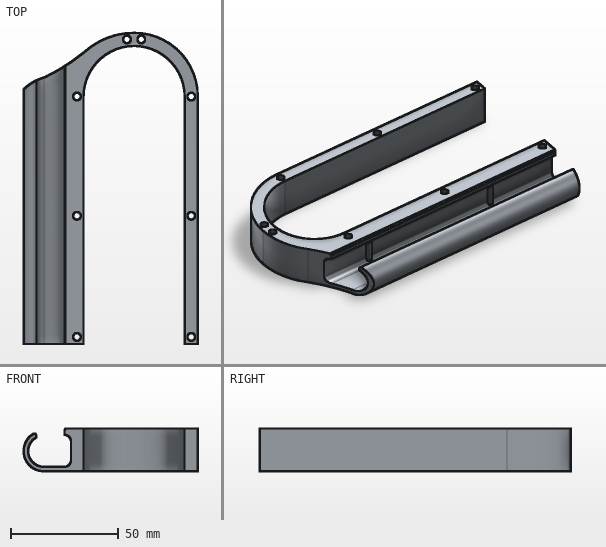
import cadquery as cq
import math

height = 20.0
length = 145.4
width = 81.4

bend_outer_radius = 29.8
bend_inner_radius = 23.5
front_y = bend_outer_radius - length
left_x = bend_outer_radius - width

shoulder_radius = 34.5
shoulder_end_x = -23.3
hollow_mid = (-32.3, 14.2)
hollow_end = (-41.7, 9.0)
corner_mid = (-47.0, 6.8)
corner_end_y = 3.3

hook_radius = 9.5
hook_wall = 2.2
hook_tip_angle = 115.5
hook_tip_rounding = 0.6
channel_wall_x = -29.5
channel_fillet = 3.0
lip_underside_z = 17.0
lip_chamfer_width = 0.6
lip_chamfer_height = 1.0

hole_diameter = 3.5
rail_hole_ys = (0.0, -55.7, -112.2)
bend_hole_spacing = 6.7

bore_diameter = 3.8
bore_inset = 0.9
bore_depth = 13.2
bore_ys = (-9.9, -80.0)

rail_center = (bend_outer_radius + bend_inner_radius) / 2


def point_on_shoulder(x):
    """Point on the wide bend, which touches the top of the U at x = 0."""
    center_y = bend_outer_radius - shoulder_radius
    return (x, center_y + math.sqrt(shoulder_radius**2 - x**2))


def plan_solid():
    """Outline seen from above, extruded to full height with the U opening removed."""
    bend_mid = bend_outer_radius * math.sqrt(0.5)
    outline = (
        cq.Workplane("XY")
        .moveTo(left_x, front_y)
        .lineTo(bend_outer_radius, front_y)
        .lineTo(bend_outer_radius, 0)
        .threePointArc((bend_mid, bend_mid), (0, bend_outer_radius))
        .threePointArc(point_on_shoulder(shoulder_end_x / 2), point_on_shoulder(shoulder_end_x))
        .threePointArc(hollow_mid, hollow_end)
        .threePointArc(corner_mid, (left_x, corner_end_y))
        .close()
        .extrude(height)
    )
    opening = (
        cq.Workplane("XY")
        .moveTo(-bend_inner_radius, front_y)
        .lineTo(bend_inner_radius, front_y)
        .lineTo(bend_inner_radius, 0)
        .threePointArc((0, bend_inner_radius), (-bend_inner_radius, 0))
        .close()
        .extrude(height)
    )
    return outline.cut(opening)


def section_solid():
    """Cross-section of the frame and its curled channel, extruded along Y."""
    hook_x = left_x + hook_radius
    hook_inner_radius = hook_radius - hook_wall
    nose_x = channel_wall_x - channel_fillet
    fillet_mid = channel_fillet * math.sqrt(0.5)
    lower_fillet_z = hook_wall + channel_fillet
    upper_fillet_z = lip_underside_z - channel_fillet

    def on_hook(radius, angle):
        turn = math.radians(angle)
        return (hook_x + radius * math.cos(turn), hook_radius + radius * math.sin(turn))

    selector_margin = 1.5
    tip_edges = cq.selectors.BoxSelector(
        (left_x, front_y - selector_margin, hook_radius + hook_inner_radius / 2),
        (hook_x, bend_outer_radius + selector_margin, height),
    )
    return (
        cq.Workplane("XZ", origin=(0, bend_outer_radius, 0))
        .moveTo(bend_outer_radius, 0)
        .lineTo(hook_x, 0)
        .threePointArc((left_x, hook_radius), on_hook(hook_radius, hook_tip_angle))
        .lineTo(*on_hook(hook_inner_radius, hook_tip_angle))
        .threePointArc((left_x + hook_wall, hook_radius), (hook_x, hook_wall))
        .lineTo(nose_x, hook_wall)
        .threePointArc(
            (nose_x + fillet_mid, lower_fillet_z - fillet_mid),
            (channel_wall_x, lower_fillet_z),
        )
        .lineTo(channel_wall_x, upper_fillet_z)
        .threePointArc(
            (nose_x + fillet_mid, upper_fillet_z + fillet_mid),
            (nose_x, lip_underside_z),
        )
        .lineTo(nose_x, height - lip_chamfer_height)
        .lineTo(nose_x + lip_chamfer_width, height)
        .lineTo(bend_outer_radius, height)
        .close()
        .extrude(length)
        .edges("|Y")
        .edges(tip_edges)
        .fillet(hook_tip_rounding)
    )


def screw_holes():
    """Through holes along both rails and a pair at the top of the bend."""
    points = [(side * rail_center, y) for side in (-1, 1) for y in rail_hole_ys]
    points += [(side * bend_hole_spacing / 2, rail_center) for side in (-1, 1)]
    return cq.Workplane("XY").pushPoints(points).circle(hole_diameter / 2).extrude(height)


def underside_bores():
    """Blind bores centred just behind the channel wall, leaving grooves in it."""
    points = [(channel_wall_x + bore_inset, y) for y in bore_ys]
    return cq.Workplane("XY").pushPoints(points).circle(bore_diameter / 2).extrude(bore_depth)


result = plan_solid().intersect(section_solid()).cut(screw_holes()).cut(underside_bores())